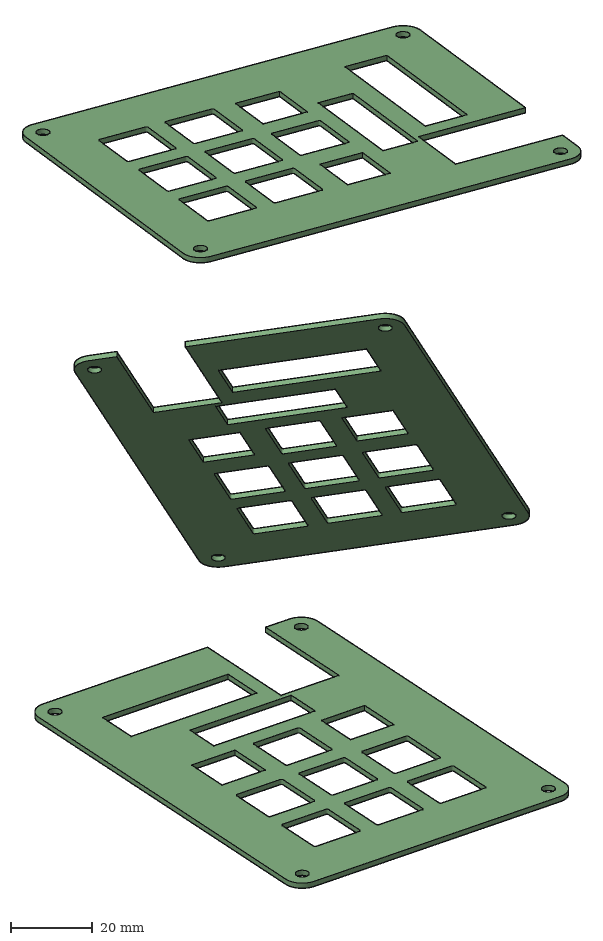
import cadquery as cq

PLATE_WIDTH = 84.6
PLATE_LENGTH = 113.2
PLATE_THICKNESS = 1.5
CORNER_RADIUS = 5.0

MOUNT_HOLE_DIAMETER = 3.4

KEY_SIZE = 14.0
KEY_CORNER_RADIUS = 0.5
KEY_PITCH = 19.0
KEY_GRID_X = -0.7
KEY_GRID_Y = -16.2

SIDE_OPENING_WIDTH = 13.1
SIDE_OPENING_TOP = 9.6
LEFT_OPENING_X = -19.8
LEFT_OPENING_HEIGHT = 12.7
RIGHT_OPENING_X = 19.5
RIGHT_OPENING_HEIGHT = 12.2

UPPER_WINDOW_WIDTH = 38.0
UPPER_WINDOW_HEIGHT = 12.0
UPPER_WINDOW_X = -10.6
UPPER_WINDOW_Y = 36.4

LOWER_WINDOW_WIDTH = 30.7
LOWER_WINDOW_HEIGHT = 10.0
LOWER_WINDOW_X = -0.8
LOWER_WINDOW_Y = 19.5

NOTCH_WIDTH = 17.5
NOTCH_DEPTH = 30.7
NOTCH_X = 21.3


def rectangular_cutter(width, height, x, y):
    """Block through the full plate thickness, centred at (x, y)."""
    return cq.Workplane("XY").center(x, y).rect(width, height).extrude(PLATE_THICKNESS)


def key_cutter(x, y):
    """Square key opening with slightly rounded corners."""
    return rectangular_cutter(KEY_SIZE, KEY_SIZE, x, y).edges("|Z").fillet(KEY_CORNER_RADIUS)


def side_opening_cutter(height, x):
    """Opening of the given height whose upper edge lies on the shared top line."""
    return rectangular_cutter(SIDE_OPENING_WIDTH, height, x, SIDE_OPENING_TOP - height / 2)


plate = (
    cq.Workplane("XY")
    .rect(PLATE_WIDTH, PLATE_LENGTH)
    .extrude(PLATE_THICKNESS)
    .edges("|Z")
    .fillet(CORNER_RADIUS)
)

plate = (
    plate.faces(">Z")
    .workplane()
    .rect(PLATE_WIDTH - 2 * CORNER_RADIUS, PLATE_LENGTH - 2 * CORNER_RADIUS, forConstruction=True)
    .vertices()
    .hole(MOUNT_HOLE_DIAMETER)
)

plate = plate.cut(
    rectangular_cutter(UPPER_WINDOW_WIDTH, UPPER_WINDOW_HEIGHT, UPPER_WINDOW_X, UPPER_WINDOW_Y)
)
plate = plate.cut(
    rectangular_cutter(LOWER_WINDOW_WIDTH, LOWER_WINDOW_HEIGHT, LOWER_WINDOW_X, LOWER_WINDOW_Y)
)
plate = plate.cut(
    rectangular_cutter(NOTCH_WIDTH, NOTCH_DEPTH, NOTCH_X, (PLATE_LENGTH - NOTCH_DEPTH) / 2)
)

key_places = [(column, row) for row in (-1, 0) for column in (-1, 0, 1)]
key_places.append((0, 1))
for column, row in key_places:
    plate = plate.cut(key_cutter(KEY_GRID_X + column * KEY_PITCH, KEY_GRID_Y + row * KEY_PITCH))

plate = plate.cut(side_opening_cutter(LEFT_OPENING_HEIGHT, LEFT_OPENING_X))
plate = plate.cut(side_opening_cutter(RIGHT_OPENING_HEIGHT, RIGHT_OPENING_X))

result = plate